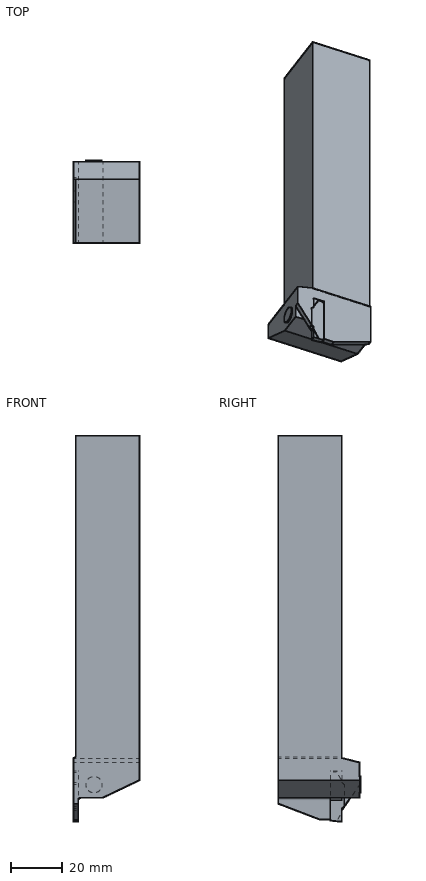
import cadquery as cq

total_length = 151.4
total_width = 26.0
shank_side = 25.0
shank_left = 0.9

head_depth = 32.0
ledge_depth = 25.5
head_top = 25.0
ledge_rise = 0.5
head_back_top = 23.3
head_bottom = 9.4
bevel_start_x = 11.5
bevel_top = 16.3
corner_radius = 0.9

blade_thickness = 2.0
blade_bottom = 0.9
blade_front_z = 7.1
blade_flat_front = 16.2
blade_flat_back = 22.5
blade_back_z = 14.8

boss_diameter = 6.4
boss_height = 0.5
boss_x = 8.0
boss_z = 14.7

insert_front = 20.5
insert_back = shank_side
insert_length = 20.0
end_relief = 0.5
ridge_back = 25.9
ridge_bottom = 6.0
ridge_top = 14.7
ridge_ramp = 0.8
side_relief = 0.2
tip_height = 4.1
tip_depth = 2.3


def extrude_yz(points, x_start, x_end):
    """Extrude a closed (y, z) outline between two X positions."""
    return cq.Workplane("YZ", origin=(x_start, 0, 0)).polyline(points).close().extrude(x_end - x_start)


def make_insert_outline(relief):
    """Outline with a raised back ridge and both ends sloping back by the relief."""
    return [
        (insert_front, relief),
        (insert_back, 0),
        (insert_back, ridge_bottom - ridge_ramp),
        (ridge_back, ridge_bottom),
        (ridge_back, ridge_top),
        (insert_back, ridge_top + ridge_ramp),
        (insert_back, insert_length),
        (insert_front, insert_length - relief),
    ]


def make_shank():
    width = total_width - shank_left
    height = total_length - head_top
    base = cq.Workplane("XY", origin=(shank_left, 0, head_top))
    return base.rect(width, shank_side, centered=False).extrude(height)


def make_head():
    block = extrude_yz(
        [
            (0, head_bottom),
            (head_depth, head_bottom),
            (head_depth, head_back_top),
            (ledge_depth, head_top),
            (0, head_top),
        ],
        0,
        total_width,
    )
    bevel = (
        cq.Workplane("XZ")
        .polyline([(bevel_start_x, head_bottom), (total_width, head_bottom), (total_width, bevel_top)])
        .close()
        .extrude(-head_depth)
    )
    setback = extrude_yz(
        [(blade_flat_back, blade_bottom), (head_depth, blade_bottom), (head_depth, blade_back_z)],
        0,
        blade_thickness,
    )
    return block.cut(bevel).cut(setback)


def make_side_ledge():
    return (
        cq.Workplane("XZ")
        .polyline([(0, head_top), (shank_left, head_top), (shank_left, head_top + ledge_rise)])
        .close()
        .extrude(-shank_side)
    )


def make_blade():
    outline = [
        (0, blade_front_z),
        (blade_flat_front, blade_bottom),
        (blade_flat_back, blade_bottom),
        (head_depth, blade_back_z),
        (head_depth, head_back_top),
        (ledge_depth, head_top),
        (0, head_top),
    ]
    blade = extrude_yz(outline, 0, blade_thickness)
    corner_x = blade_thickness + corner_radius
    corner_z = head_bottom - corner_radius
    web = (
        cq.Workplane("XZ")
        .moveTo(blade_thickness, corner_z)
        .radiusArc((corner_x, head_bottom), corner_radius)
        .lineTo(blade_thickness, head_bottom)
        .close()
        .extrude(-insert_back)
    )
    return blade.union(web)


def make_boss():
    return (
        cq.Workplane("XZ", origin=(boss_x, head_depth, boss_z))
        .circle(boss_diameter / 2)
        .extrude(-boss_height)
    )


def make_holder():
    pocket = extrude_yz(make_insert_outline(0), 0, blade_thickness)
    body = make_head().union(make_blade()).union(make_shank())
    body = body.union(make_side_ledge()).union(make_boss())
    return body.cut(pocket)


def make_insert():
    insert = extrude_yz(make_insert_outline(end_relief), 0, blade_thickness)
    relief = extrude_yz(
        [
            (insert_front, 0),
            (insert_back - tip_depth, 0),
            (insert_back, tip_height),
            (ridge_back, tip_height),
            (ridge_back, insert_length - tip_height),
            (insert_back, insert_length - tip_height),
            (insert_back - tip_depth, insert_length),
            (insert_front, insert_length),
        ],
        0,
        side_relief,
    )
    return insert.cut(relief)


holder = make_holder()
insert = make_insert()

result = cq.Compound.makeCompound([holder.val(), insert.val()])